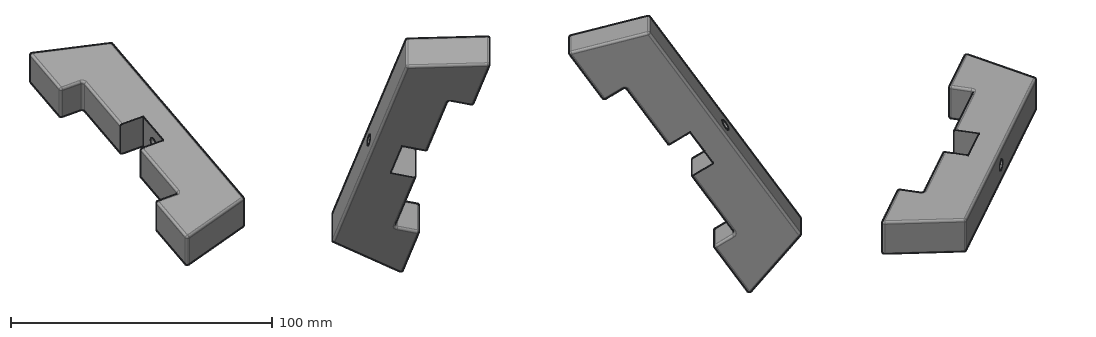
import cadquery as cq
import math

length = 124.2
depth = 31.0
height = 15.0
edge_radius = 1.0

end_overhang = 10.1
recess_width = 75.0
recess_depth = 10.0

notch_width = 16.0
notch_floor = 20.0
hole_diameter = 4.5

end_angle = math.atan2(depth, end_overhang)
corner_loss = edge_radius * (1 / math.tan(end_angle / 2) - 1)
front_half_length = length / 2 + corner_loss
rear_half_length = front_half_length - end_overhang

front_y = -depth / 2
rear_y = depth / 2
recess_y = front_y + recess_depth


def rounded_bar():
    """Bar with every edge rounded, including those around the recess."""
    right_side = [
        (recess_width / 2, recess_y),
        (recess_width / 2, front_y),
        (front_half_length, front_y),
        (rear_half_length, rear_y),
    ]
    left_side = [(-x, y) for x, y in reversed(right_side)]
    bar = cq.Workplane("XY").polyline(right_side + left_side).close().extrude(height / 2, both=True)
    return bar.edges().fillet(edge_radius)


def notch():
    """Sharp-edged square notch, open to the recess and through the full height."""
    return (
        cq.Workplane("XY")
        .box(notch_width, notch_floor, height, centered=(True, False, True))
        .translate((0, front_y, 0))
    )


def hole():
    """Round hole along Y, centred on the notch and through the rear face."""
    return cq.Workplane("XZ").circle(hole_diameter / 2).extrude(depth / 2, both=True)


result = rounded_bar().cut(notch()).cut(hole())